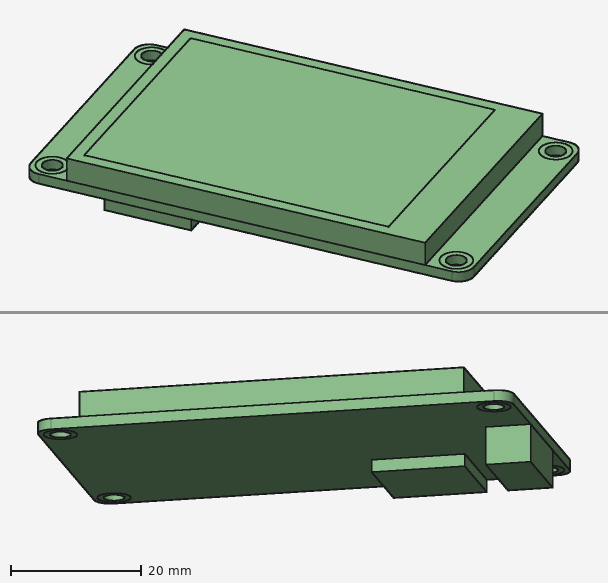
import cadquery as cq

board_length = 75.0
board_width = 43.0
board_thickness = 1.7
corner_radius = 2.55

hole_diameter = 3.2
ring_diameter = 5.2
hole_edge_inset = 3.3
hole_x = board_length / 2 - hole_edge_inset
hole_y = board_width / 2 - hole_edge_inset
hole_centres = [(sx * hole_x, sy * hole_y) for sx in (-1, 1) for sy in (-1, 1)]

display_left = -30.2
display_right = 30.45
display_thickness = 4.0
display_top = board_thickness + display_thickness

screen_border = 2.0
screen_length = 51.5
screen_width = board_width - 2 * screen_border
screen_left = display_left + screen_border
screen_thickness = 0.75

connector_length = 7.05
connector_width = 15.0
connector_height = 6.0

socket_left = -23.85
socket_length = 14.7
socket_width = 15.0
socket_height = 1.95


def block(left, front, bottom, length, width, height):
    """A box given by its lowest corner and its sizes."""
    return cq.Workplane("XY").box(length, width, height, centered=False).translate((left, front, bottom))


def make_board():
    """Rounded plate with a through hole for each plated ring."""
    plate = cq.Workplane("XY").rect(board_length, board_width).extrude(board_thickness)
    plate = plate.edges("|Z").fillet(corner_radius)
    ring_holes = (
        cq.Workplane("XY").pushPoints(hole_centres).circle(ring_diameter / 2).extrude(board_thickness)
    )
    return plate.cut(ring_holes)


def make_ring(centre):
    """Plated ring that lines one mounting hole through the board."""
    return (
        cq.Workplane("XY")
        .center(*centre)
        .circle(ring_diameter / 2)
        .circle(hole_diameter / 2)
        .extrude(board_thickness)
    )


def make_screen():
    """Thin panel with its top face level with the display module."""
    return block(
        screen_left, -screen_width / 2, display_top - screen_thickness,
        screen_length, screen_width, screen_thickness,
    )


def make_display():
    """Display module with a recess that holds the screen."""
    module = block(
        display_left, -board_width / 2, board_thickness,
        display_right - display_left, board_width, display_thickness,
    )
    return module.cut(make_screen())


def make_connector():
    """Connector block hanging below the board."""
    return block(
        -board_length / 2, -connector_width / 2, -connector_height,
        connector_length, connector_width, connector_height,
    )


def make_card_socket():
    """Flat card socket hanging below the board."""
    return block(
        socket_left, -board_width / 2, -socket_height,
        socket_length, socket_width, socket_height,
    )


board = make_board()
rings = [make_ring(centre) for centre in hole_centres]
display = make_display()
screen = make_screen()
connector = make_connector()
card_socket = make_card_socket()

result = cq.Compound.makeCompound([
    board.val(),
    *[ring.val() for ring in rings],
    display.val(),
    screen.val(),
    connector.val(),
    card_socket.val(),
])